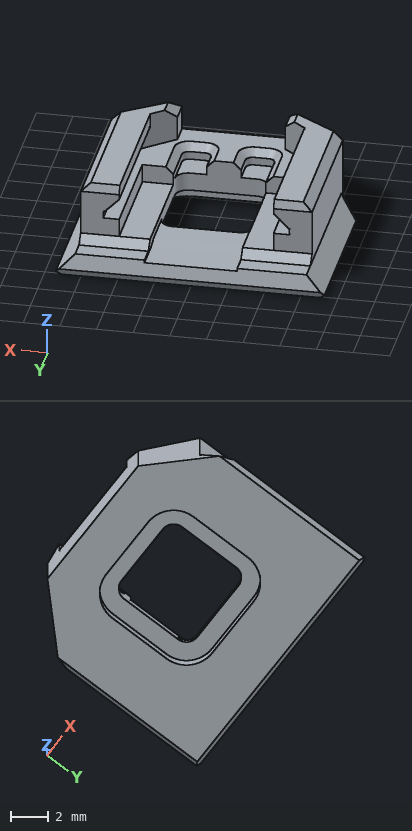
import cadquery as cq

half_width = 7.34
length = 12.86
height = 4.75
front_y = 0.0
overshoot = 0.73
cutter_size = 4 * length

body_half_width = 6.31
body_back_y = 11.0
front_half_width = 3.96

flange_height = 1.29
side_tip_z = flange_height - (half_width - body_half_width)
flange_foot_half_width = half_width - side_tip_z
back_tip_z = 0.47
flange_top_back_y = 12.52
flange_foot_back_y = 12.57
flange_front_y = 2.88

bevel_back_y = 11.48

rail_bevel_z = 4.29
rail_top_half_width = 5.8
rail_top_back_y = 10.79
throat_top_z = 4.15
throat_bevel = height - throat_top_z

deck_z = 2.8
rail_inner_x = 4.21
throat_half_width = 2.94
throat_end_y = 1.29
channel_corner_y = 2.36
undercut_x = 5.08
undercut_top_z = 4.0
undercut_radius = 1.88

floor_z = flange_height + (bevel_back_y - body_back_y)
floor_front_y = 4.54
well_half_width = 2.52
well_z = 1.34
back_step_z = 1.16
ramp_front_y = 9.95
ramp_back_y = 10.67

window_front_y = 3.36
window_back_y = 8.47
window_radius = 0.72
well_front_y = window_front_y + window_radius
recess_margin = 1.03
recess_z = 0.91

slot_bevel = 0.41
slot_inner_x = 0.94
slot_front_y = 1.78
slot_back_y = floor_front_y + slot_bevel
slot_radius = 0.4
slot_floor_z = 1.94


def box(x_min, x_max, y_min, y_max, z_min, z_max):
    size = (x_max - x_min, y_max - y_min, z_max - z_min)
    return cq.Workplane("XY").box(*size, centered=False).translate((x_min, y_min, z_min))


def along_x(points, half_span):
    """Extrude a (y, z) outline equally to both sides of the centre."""
    return cq.Workplane("YZ").polyline(points).close().extrude(half_span, both=True)


def along_y(points, y_min, y_max):
    """Extrude an (x, z) outline from y_min to y_max."""
    sketch = cq.Workplane("XZ", origin=(0, y_min, 0)).polyline(points).close()
    return sketch.extrude(y_min - y_max)


def both_sides(shape):
    return shape.union(shape.mirror("YZ"))


def plane_cutter(point, normal):
    """Large block filling the space on the normal's side of a plane."""
    plane = cq.Plane(origin=point, normal=normal)
    return cq.Workplane(plane).rect(cutter_size, cutter_size).extrude(cutter_size)


def plan_prism(side_x, back_y, top_z):
    """Block with the 45 degree front corners."""
    corner_y = side_x - front_half_width
    half = [
        (0, front_y), (front_half_width, front_y), (side_x, corner_y), (side_x, back_y), (0, back_y),
    ]
    return both_sides(cq.Workplane("XY").polyline(half).close().extrude(top_z))


def make_flange():
    section = [
        (-flange_foot_half_width, 0), (flange_foot_half_width, 0), (half_width, side_tip_z),
        (body_half_width, flange_height), (-body_half_width, flange_height), (-half_width, side_tip_z),
    ]
    back_profile = [
        (front_y, 0), (flange_foot_back_y, 0), (length, back_tip_z),
        (flange_top_back_y, flange_height), (front_y, flange_height),
    ]
    flange = plan_prism(half_width, length, flange_height)
    flange = flange.intersect(along_y(section, front_y, length))
    flange = flange.intersect(along_x(back_profile, half_width))
    end_cut = plane_cutter((body_half_width, flange_front_y, flange_height), (2, -1, 1))
    return flange.cut(both_sides(end_cut))


def make_body():
    body = plan_prism(body_half_width, body_back_y, height)
    section = [
        (-body_half_width, 0), (body_half_width, 0), (body_half_width, rail_bevel_z),
        (rail_top_half_width, height), (-rail_top_half_width, height), (-body_half_width, rail_bevel_z),
    ]
    side_profile = [
        (front_y, 0), (body_back_y, 0), (body_back_y, rail_bevel_z),
        (rail_top_back_y, height), (front_y, height),
    ]
    body = body.intersect(along_y(section, front_y, body_back_y))
    body = body.intersect(along_x(side_profile, body_half_width))
    bevel = [(body_back_y, flange_height), (bevel_back_y, flange_height), (body_back_y, floor_z)]
    return body.union(along_x(bevel, body_half_width))


def make_corner_bevels():
    """Sloping cut across the top of each diagonal front corner."""
    low = cq.Vector(front_half_width, front_y, throat_top_z - (front_half_width - throat_half_width))
    inner = cq.Vector(throat_half_width, front_y, throat_top_z)
    outer = cq.Vector(body_half_width, body_half_width - front_half_width, throat_top_z)
    normal = (outer - low).cross(inner - low)
    return both_sides(plane_cutter(low.toTuple(), normal.toTuple()))


def channel_outline(side_x):
    slope = (channel_corner_y - throat_end_y) / (rail_inner_x - throat_half_width)
    side_y = throat_end_y + slope * (side_x - throat_half_width)
    half = [
        (0, front_y - overshoot), (throat_half_width, front_y - overshoot),
        (throat_half_width, throat_end_y), (side_x, side_y), (side_x, length), (0, length),
    ]
    return cq.Workplane("XY").workplane(offset=deck_z).polyline(half).close()


def make_channel():
    channel = channel_outline(rail_inner_x).extrude(height)
    undercut = channel_outline(undercut_x).extrude(height - deck_z)
    undercut = undercut.edges(cq.selectors.BoxSelector(
        (rail_inner_x, channel_corner_y, 0), (body_half_width, floor_front_y, height),
    )).fillet(undercut_radius)
    roof_drop = undercut_x - rail_inner_x
    roof = [
        (0, deck_z), (undercut_x, deck_z), (undercut_x, undercut_top_z - roof_drop),
        (rail_inner_x, undercut_top_z), (0, undercut_top_z),
    ]
    undercut = undercut.intersect(along_y(roof, front_y, length))
    throat_bevels = [
        (0, throat_top_z), (throat_half_width, throat_top_z),
        (throat_half_width + throat_bevel + overshoot, height + overshoot), (0, height + overshoot),
    ]
    bevel = along_y(throat_bevels, front_y - overshoot, channel_corner_y)
    return both_sides(channel.union(undercut).union(bevel))


def make_floors():
    floor = box(-rail_inner_x, rail_inner_x, floor_front_y, length, floor_z, height)
    well = [
        (well_front_y, well_z), (ramp_front_y, well_z), (ramp_back_y, back_step_z),
        (length, back_step_z), (length, height), (well_front_y, height),
    ]
    return floor.union(along_x(well, well_half_width))


def make_window():
    window = box(-well_half_width, well_half_width, window_front_y, window_back_y, 0, height)
    window = window.edges("|Z").fillet(window_radius)
    recess = box(
        -well_half_width - recess_margin, well_half_width + recess_margin,
        window_front_y - recess_margin, window_back_y + recess_margin, 0, recess_z,
    )
    recess = recess.edges("|Z").fillet(window_radius + recess_margin)
    return window.union(recess)


def make_slots():
    slot = box(slot_inner_x, well_half_width, slot_front_y, slot_back_y, slot_floor_z, deck_z)
    slot = slot.edges("|Z and <Y").fillet(slot_radius)
    bevel_start = cq.Workplane("XY").add(slot.faces(">Z").wires().vals()).toPending()
    flare = bevel_start.extrude(slot_bevel, taper=-45).translate((0, 0, -slot_bevel))
    return both_sides(slot.union(flare))


result = make_body().cut(make_corner_bevels()).union(make_flange())
result = result.cut(make_channel()).cut(make_floors()).cut(make_window()).cut(make_slots())